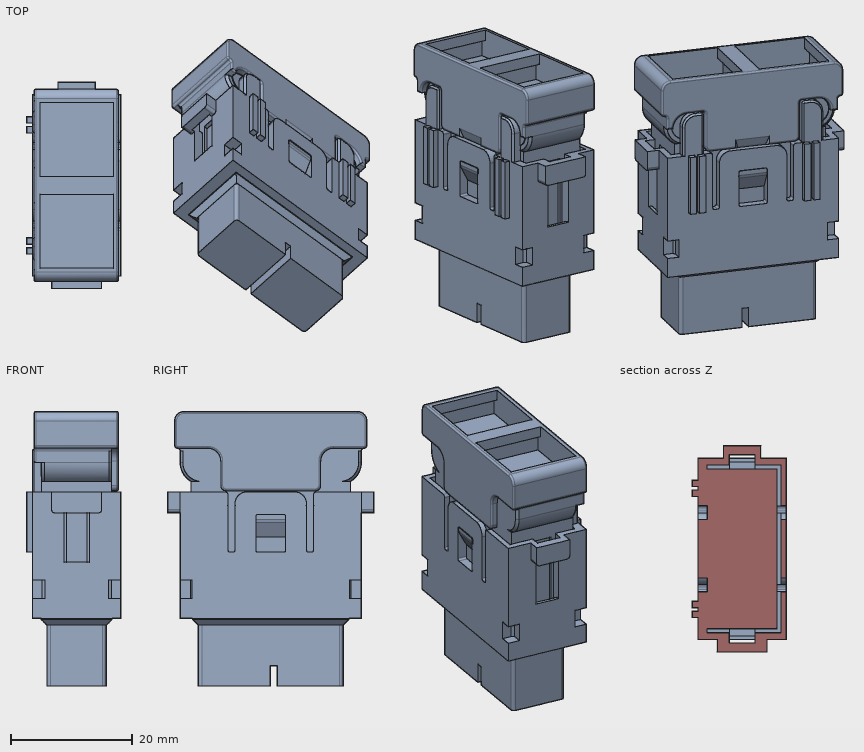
import cadquery as cq
import math

body_width = 14.65
body_length = 29.9
body_bottom = 11.2
body_top = 32.03
body_x = body_width / 2
body_y = body_length / 2

plug_width = 9.8
plug_length = 23.9
plug_edge_radius = 0.6
taper_size = 0.95
taper_bottom = 10.05
key_slot_y = 0.5
key_slot_width = 1.15
key_slot_height = 3.35

core_width = 11.5
core_length = 26.35
core_x = core_width / 2
core_y = core_length / 2
gap_width = 0.65
gap_depth = 2.25

notch_x = 2.1
notch_y = 1.95
notch_bottom = 14.5
notch_top = 17.55
notch_chamfer_x = 0.5
notch_chamfer_y = 0.25

rib_height = 0.95
rib_bottom = 22.1
rib_places = ((10.3, 11.32), (8.6, 9.75))
tongue_y = 5.9
tongue_radius = 1.9
relief_width = 1.2
relief_radius = 0.35
relief_lip_radius = 0.4
side_wall = body_x - core_x
window_width = 4.95
window_top = 28.3
window_radius = 0.3
latch_inset = 0.15
latch_bevel_top = 27.5
latch_bevel_bottom = 27.0
latch_bottom = 24.65

overall_length = 34.0
loop_reach = (overall_length - body_length) / 2
loop_height = 3.45
loop_radius = 0.55
front_loop_width = 8.25
rear_loop_width = 6.2
channel_width = 4.2
channel_bottom = 20.48
channel_reach = 0.55
channel_outer = body_y + channel_reach
groove_width = 3.4
groove_top = 31.15
groove_depth = 0.65
pit_wall = 0.6
pit_depth = 2.7

rocker_left = -7.0
rocker_right = 6.9
rocker_top = 45.3
rocker_y = 15.85
rocker_top_radius = 1.55
lip_bottom = 39.25
lip_radius = 0.45
neck_y = rocker_y - 2 * lip_radius
rim_radius = 0.3
hub_y = 11.35
hub_z = 36.87
hub_radius = 3.6
hub_chamfer = 0.45
neck_chamfer = 0.45
disc_radius = 2.35
disc_height = 0.15
arch_radius = 2.45
arch_corner_radius = 0.45
skirt_y = 8.25
skirt_bottom = 32.2
skirt_radius = 0.9
far_skirt_radius = 2.15
pry_half_width = 2.95
pry_top = 33.7
pry_depth = 0.4
pry_slant = 0.45
pry_inner_height = 0.15

recess_size = 12.15
recess_inner_y = 1.5
recess_depth = 4.7
recess_lip = 1.8
recess_undercut = 0.95

post_inner_y = 8.6
post_outer_y = 12.28
post_top = 39.2
post_outer_radius = 2.2
post_inner_radius = 0.35
post_edge = 0.3


def block(x_range, y_range, z_range):
    """Box given by its limits along X, Y and Z."""
    size = [high - low for low, high in (x_range, y_range, z_range)]
    low_corner = (x_range[0], y_range[0], z_range[0])
    return cq.Workplane("XY").box(*size, centered=False).translate(low_corner)


def mirror_y(shape):
    """Shape together with its mirror image across the XZ plane."""
    return shape.union(shape.mirror("XZ"))


def mirror_x(shape):
    """Shape together with its mirror image across the YZ plane."""
    return shape.union(shape.mirror("YZ"))


def side_sketch(x):
    """Sketch plane at the given X, with local axes along Y and Z."""
    return cq.Workplane("YZ").workplane(offset=x)


def corner_arc(sketch, center, radius, start, end):
    """Arc about a center from the current point to an end angle in degrees."""
    middle = math.radians((start + end) / 2)
    finish = math.radians(end)
    return sketch.threePointArc(
        (center[0] + radius * math.cos(middle), center[1] + radius * math.sin(middle)),
        (center[0] + radius * math.cos(finish), center[1] + radius * math.sin(finish)),
    )


def make_plug():
    plug = block(
        (-plug_width / 2, plug_width / 2), (-plug_length / 2, plug_length / 2), (0, body_bottom)
    ).edges("|Z").fillet(plug_edge_radius)
    collar = block(
        (-plug_width / 2 - taper_size, plug_width / 2 + taper_size),
        (-plug_length / 2 - taper_size, plug_length / 2 + taper_size),
        (taper_bottom, body_bottom),
    ).faces("<Z").chamfer(taper_size)
    key_slot = block(
        (-plug_width, plug_width),
        (key_slot_y - key_slot_width / 2, key_slot_y + key_slot_width / 2),
        (0, key_slot_height),
    )
    return plug.union(collar).cut(key_slot)


def corner_notches():
    inner_x = body_x - notch_x
    inner_y = body_y - notch_y
    outline = [
        (body_x, body_y),
        (body_x, inner_y),
        (inner_x + notch_chamfer_x, inner_y),
        (inner_x, inner_y + notch_chamfer_y),
        (inner_x, body_y),
    ]
    notch = (
        cq.Workplane("XY").workplane(offset=notch_bottom)
        .polyline(outline).close().extrude(notch_top - notch_bottom)
    )
    return mirror_x(mirror_y(notch))


def end_loop(width, end):
    """Loop on one narrow end; end is -1 for the -Y side and 1 for the +Y side."""
    limits = sorted((end * core_y, end * (body_y + loop_reach)))
    loop = block((-width / 2, width / 2), limits, (body_top - loop_height, body_top))
    return loop.edges("|Y and <Z").fillet(loop_radius)


def end_channel(end):
    """Channel behind a loop, with a narrower groove in the core and a pit below its sill."""
    wide = block(
        (-channel_width / 2, channel_width / 2),
        sorted((end * core_y, end * channel_outer)),
        (channel_bottom, body_top),
    )
    narrow = block(
        (-groove_width / 2, groove_width / 2),
        sorted((end * (core_y - groove_depth), end * core_y)),
        (channel_bottom - pit_depth, groove_top),
    )
    pit = block(
        (-channel_width / 2, channel_width / 2),
        sorted((end * core_y, end * (body_y - pit_wall))),
        (channel_bottom - pit_depth, channel_bottom),
    )
    return wide.union(narrow).union(pit)


def tongue_reliefs():
    """Slots beside the -X tongue, widened over the rounded corners at their mouths."""
    slot = block(
        (-body_x, -core_x), (tongue_y, tongue_y + relief_width), (rib_bottom, body_top)
    ).edges("|X and <Z").fillet(relief_radius)
    for edge_y, toward, radius in (
        (tongue_y, -1, tongue_radius),
        (tongue_y + relief_width, 1, relief_lip_radius),
    ):
        center = (edge_y + toward * radius, body_top - radius)
        start = 90 + 90 * toward
        corner = side_sketch(-body_x).moveTo(edge_y, body_top).lineTo(edge_y, center[1])
        corner = corner_arc(corner, center, radius, start, 90).close().extrude(side_wall)
        slot = slot.union(corner)
    return mirror_y(slot)


def latch_window():
    """Window in the -X tongue, leaving the sloped latch inside it."""
    window = block(
        (-body_x, -core_x), (-window_width / 2, window_width / 2), (rib_bottom, window_top)
    ).edges("|X").fillet(window_radius)
    latch_outline = [
        (-core_x, window_top),
        (-body_x + latch_inset, window_top),
        (-body_x + latch_inset, latch_bevel_top),
        (-body_x + 2 * latch_inset, latch_bevel_bottom),
        (-core_x, latch_bottom),
    ]
    latch = (
        cq.Workplane("XZ").workplane(offset=-window_width / 2)
        .polyline(latch_outline).close().extrude(window_width)
    )
    return window.cut(latch)


def core_gap():
    """Clearance around the core on the +X side and both narrow ends."""
    outer_y = core_y + gap_width
    gap_heights = (body_top - gap_depth, body_top)
    pocket = block((-core_x, core_x + gap_width), (-outer_y, outer_y), gap_heights)
    return pocket.cut(block((-core_x, core_x), (-core_y, core_y), gap_heights))


def make_housing():
    housing = block((-body_x, body_x), (-body_y, body_y), (body_bottom, body_top))
    housing = housing.union(end_loop(front_loop_width, -1)).union(end_loop(rear_loop_width, 1))
    housing = housing.cut(end_channel(-1)).cut(end_channel(1)).cut(corner_notches())
    housing = housing.cut(mirror_x(tongue_reliefs())).cut(mirror_x(latch_window()))
    housing = housing.cut(core_gap())
    for low, high in rib_places:
        rib = block((-body_x - rib_height, -body_x), (low, high), (rib_bottom, body_top))
        housing = housing.union(mirror_y(rib))
    return housing


def make_posts():
    """Rounded posts standing on the -X wall, with softened outer edges."""
    post = block((-body_x, -core_x), (post_inner_y, post_outer_y), (body_top, post_top))
    post = post.edges("|X and >Z and >Y").fillet(post_outer_radius)
    post = post.edges("|X and >Z and <Y").fillet(post_inner_radius)
    post = post.faces("<X").edges("not <Z").chamfer(post_edge)
    return mirror_y(post)


def start_rocker_half(x):
    """Upper half outline shared by all rocker slices, ending under the lip."""
    shoulder = (rocker_y - rocker_top_radius, rocker_top - rocker_top_radius)
    lip = (rocker_y - lip_radius, lip_bottom + lip_radius)
    sketch = side_sketch(x).moveTo(0, rocker_top).lineTo(shoulder[0], rocker_top)
    sketch = corner_arc(sketch, shoulder, rocker_top_radius, 90, 0).lineTo(rocker_y, lip[1])
    return corner_arc(sketch, lip, lip_radius, 0, -90)


def add_neck(sketch):
    """Concave fillet under the lip, then the neck side down to the hub axis."""
    sketch = corner_arc(sketch, (neck_y + lip_radius, lip_bottom - lip_radius), lip_radius, 90, 180)
    return sketch.lineTo(neck_y, hub_z)


def add_skirt(sketch):
    """Skirt side and rounded lower corner, back to the middle of the rocker."""
    center = (skirt_y - skirt_radius, skirt_bottom + skirt_radius)
    sketch = sketch.lineTo(skirt_y, center[1])
    return corner_arc(sketch, center, skirt_radius, 0, -90).lineTo(0, skirt_bottom).close()


def near_slice():
    """-X slice of the rocker: arched openings over the hubs, and a skirt."""
    sketch = add_neck(start_rocker_half(rocker_left)).lineTo(hub_y + arch_radius, hub_z)
    sketch = corner_arc(sketch, (hub_y, hub_z), arch_radius, 0, 90)
    arch_top = hub_z + arch_radius
    center = (skirt_y + arch_corner_radius, arch_top - arch_corner_radius)
    sketch = sketch.lineTo(center[0], arch_top)
    sketch = corner_arc(sketch, center, arch_corner_radius, 90, 180)
    return mirror_y(add_skirt(sketch).extrude(-core_x - rocker_left))


def middle_slice():
    """Middle of the rocker: the lip, and the neck with its +X corners cut away."""
    sketch = add_neck(start_rocker_half(-core_x)).lineTo(0, hub_z).close()
    neck_corner = (
        cq.Workplane("XY").workplane(offset=hub_z)
        .moveTo(core_x, neck_y)
        .lineTo(core_x - neck_chamfer, neck_y)
        .lineTo(core_x, neck_y - neck_chamfer)
        .close().extrude(lip_bottom - lip_radius - hub_z)
    )
    return mirror_y(sketch.extrude(core_width).cut(neck_corner))


def far_slice():
    """+X slice of the rocker: the lip and a skirt with a wide fillet."""
    center = (skirt_y + far_skirt_radius, lip_bottom - far_skirt_radius)
    sketch = start_rocker_half(core_x).lineTo(center[0], lip_bottom)
    sketch = corner_arc(sketch, center, far_skirt_radius, 90, 180)
    return mirror_y(add_skirt(sketch).extrude(rocker_right - core_x))


def make_hubs():
    """Pivot hubs along X, each with a raised disc on its -X end."""
    hub = side_sketch(-core_x).center(hub_y, hub_z).circle(hub_radius).extrude(core_width)
    hub = hub.edges().chamfer(hub_chamfer)
    disc_x = -core_x - disc_height
    disc = side_sketch(disc_x).center(hub_y, hub_z).circle(disc_radius).extrude(2 * disc_height)
    return mirror_y(hub.union(disc))


def button_recess():
    """+Y recess in the rocker top, undercut in Y below its lip."""
    half = recess_size / 2
    outer_y = recess_inner_y + recess_size
    mouth = block((-half, half), (recess_inner_y, outer_y), (rocker_top - recess_lip, rocker_top))
    lower = block(
        (-half, half),
        (recess_inner_y - recess_undercut, outer_y + recess_undercut),
        (rocker_top - recess_depth, rocker_top - recess_lip),
    )
    return mouth.union(lower)


def pry_notch():
    """Sloped notch in the lower edge of the -X skirt."""
    return (
        side_sketch(rocker_left).center(0, skirt_bottom)
        .rect(2 * pry_half_width, 2 * (pry_top - skirt_bottom))
        .workplane(offset=pry_depth)
        .rect(2 * (pry_half_width - pry_slant), 2 * pry_inner_height)
        .loft(combine=True)
    )


def make_rocker():
    rocker = near_slice().union(middle_slice()).union(far_slice())
    rocker = rocker.faces("<X or >X").edges().fillet(rim_radius)
    rocker = rocker.cut(mirror_y(button_recess())).cut(pry_notch())
    return rocker.union(make_hubs())


def make_core():
    """Core between housing and rocker, rising to the hub axis between the hubs."""
    hub_foot = hub_z - math.sqrt(hub_radius ** 2 - (core_y - hub_y) ** 2)
    base = block((-core_x, core_x), (-core_y, core_y), (body_top, hub_foot))
    web = block((-core_x, core_x), (-hub_y, hub_y), (body_top, hub_z))
    return base.union(web)


result = make_housing().union(make_plug()).union(make_core()).union(make_rocker()).union(make_posts())